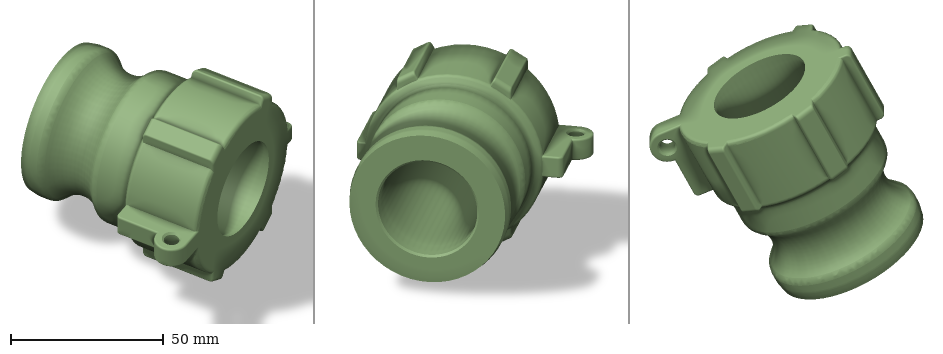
import cadquery as cq
import math

length = 69.1
spigot_radius = 53.45 / 2
bore_radius = 33.3 / 2
bore_chamfer = 0.7
nose_radius = 26.1
nose_length = 3.3
nose_blend = 3.5
groove_start = 7.9
groove_end = 27.4
groove_neck_radius = 21.45
groove_front_fillet = 3.0
groove_rear_fillet = 3.3
shoulder_start = 39.95
shoulder_fillet = 1.5
collar_start = 42.0
collar_radius = 30.0
collar_front_fillet = 1.5
collar_rear_fillet = 1.5

rib_face_radius = 32.75
rib_width = 6.45
rib_root_radius = 27.0
rib_corner_fillet = 1.65
rib_side_fillet = 0.6
rib_tilt = 60
rib_length = length - collar_start

lug_face_radius = 36.4
lug_width = 7.5
lug_root_radius = 27.4
lug_corner_fillet = 1.65
lug_rim_fillet = 0.7
eye_radius = 5.8
eye_hole_diameter = 5.1
eye_rim_chamfer = 0.7
eye_x = length - eye_radius


def circle_at(solid, station, radius):
    """The circular edge of a turned solid at a given station and radius."""
    tolerance = 0.01
    return solid.edges(
        cq.selectors.BoxSelector(
            (station - tolerance, -radius - tolerance, -radius - tolerance),
            (station + tolerance, radius + tolerance, radius + tolerance),
            boundingbox=True,
        )
    )


def make_body():
    """Revolved spigot with its cam groove, the shoulder and the collar, with blended edges."""
    groove_middle = (groove_start + groove_end) / 2
    body = (
        cq.Workplane("XY")
        .moveTo(0, 0)
        .lineTo(0, nose_radius)
        .lineTo(nose_length, spigot_radius)
        .lineTo(groove_start, spigot_radius)
        .threePointArc((groove_middle, groove_neck_radius), (groove_end, spigot_radius))
        .lineTo(shoulder_start, spigot_radius)
        .lineTo(collar_start, collar_radius)
        .lineTo(length, collar_radius)
        .lineTo(length, 0)
        .close()
        .revolve(360, (0, 0, 0), (1, 0, 0))
    )
    blends = [
        (nose_length, spigot_radius, nose_blend),
        (groove_start, spigot_radius, groove_front_fillet),
        (groove_end, spigot_radius, groove_rear_fillet),
        (shoulder_start, spigot_radius, shoulder_fillet),
        (collar_start, collar_radius, collar_front_fillet),
        (length, collar_radius, collar_rear_fillet),
    ]
    for station, radius, blend in blends:
        body = circle_at(body, station, radius).fillet(blend)
    return body


def make_rib(lower_side_flare):
    """Rib on the +Y side; its -Z side flares towards the root by the given angle in degrees."""
    half_width = rib_width / 2
    root_spread = (rib_face_radius - rib_root_radius) * math.tan(math.radians(lower_side_flare))
    rib = (
        cq.Workplane("YZ", origin=(collar_start, 0, 0))
        .polyline([
            (rib_root_radius, -half_width - root_spread),
            (rib_face_radius, -half_width),
            (rib_face_radius, half_width),
            (rib_root_radius, half_width),
        ])
        .close()
        .extrude(rib_length)
    )
    rib = rib.faces(">Y").edges("|Z").fillet(rib_corner_fillet)
    return rib.faces(">Z or <Z").edges().fillet(rib_side_fillet)


def make_ribs():
    """One rib on +Y, and four tilted ribs whose outer sides are parallel to Z."""
    upper = make_rib(90 - rib_tilt).rotate((0, 0, 0), (1, 0, 0), rib_tilt)
    upper_pair = upper.union(upper.mirror("XZ"))
    return make_rib(0).union(upper_pair).union(upper_pair.mirror("XY"))


def make_lug():
    """Bar carrying a round eye at its +X end, with rounded rims above and below."""
    bottom = cq.Workplane("XY", origin=(0, 0, -lug_width / 2))
    bar = (
        bottom
        .moveTo(collar_start, -lug_face_radius)
        .rect(rib_length, lug_face_radius - lug_root_radius, centered=False)
        .extrude(lug_width)
        .edges("|Z and <X and <Y")
        .fillet(lug_corner_fillet)
    )
    eye = bottom.center(eye_x, -lug_face_radius).circle(eye_radius).extrude(lug_width)
    return bar.union(eye).faces("|Z").edges().fillet(lug_rim_fillet)


def make_eye_hole():
    """Through hole of the eye, chamfered at both rims."""
    hole_radius = eye_hole_diameter / 2
    rim_radius = hole_radius + eye_rim_chamfer
    half = lug_width / 2
    return (
        cq.Workplane("XZ")
        .polyline([
            (0, -half),
            (rim_radius, -half),
            (hole_radius, -half + eye_rim_chamfer),
            (hole_radius, half - eye_rim_chamfer),
            (rim_radius, half),
            (0, half),
        ])
        .close()
        .revolve(360, (0, 0, 0), (0, 1, 0))
        .translate((eye_x, -lug_face_radius, 0))
    )


result = make_body().union(make_ribs()).union(make_lug()).cut(make_eye_hole())
result = result.cut(cq.Workplane("YZ").circle(bore_radius).extrude(length))
result = circle_at(result, 0, bore_radius).chamfer(bore_chamfer)